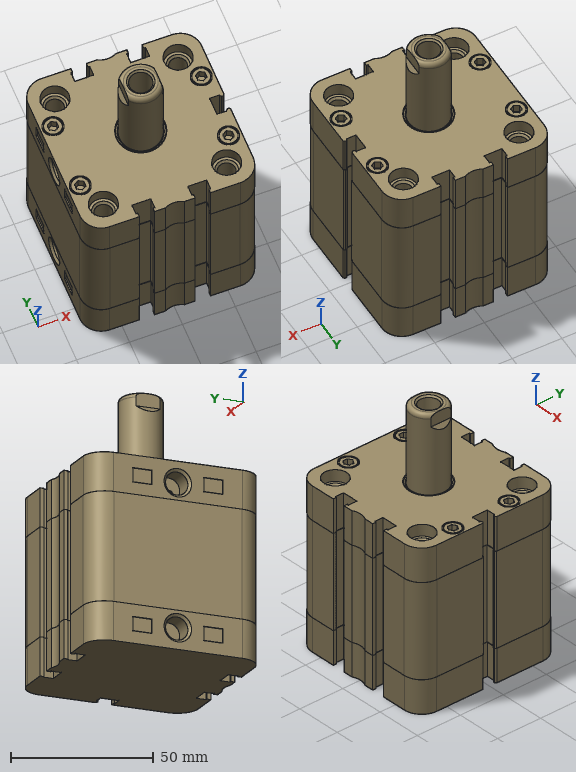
import cadquery as cq
import math

OVERALL_HEIGHT = 103.0
BODY_WIDTH = 65.5
CAP_HEIGHT = 14.5
BARREL_HEIGHT = 40.8
CAP_CORNER_RADIUS = 8.0
BARREL_CORNER_RADIUS = 8.2
HALF_WIDTH = BODY_WIDTH / 2
BARREL_TOP = CAP_HEIGHT + BARREL_HEIGHT
BODY_TOP = BARREL_TOP + CAP_HEIGHT

SLOT_SPACING = 21.1
SLOT_MOUTH = 5.8
SLOT_WIDTH = 6.7
SLOT_DEPTH = 5.2
SLOT_LIP = 1.5
SIDE_SLOT_MOUTH = 5.0
SIDE_SLOT_WIDTH = 6.6
SIDE_SLOT_DEPTH = 5.4
SIDE_LIP = 1.6
SIDE_LIP_BEVEL = 0.5
CAP_SLOT_CLEARANCE = 0.2

GROOVE_WIDTH = 7.1
GROOVE_DEPTH = 0.9

MOUNT_OFFSET = 23.3
MOUNT_BORE = 10.5
MOUNT_BORE_DEPTH = 4.9
MOUNT_MOUTH = 8.3
MOUNT_THREAD = 6.7

SCREW_X = 28.0
SCREW_Y = 13.1
SCREW_RECESS = 7.7
SCREW_HEAD = 6.7
SCREW_GAP_DEPTH = 0.5
SOCKET_FLATS = 3.5
SOCKET_DEPTH = 3.1

PORT_FROM_END = 8.0
PORT_MOUTH = 10.5
PORT_BORE = 8.5
PORT_DEPTH = 8.2
AIR_PASSAGE = 3.5
AIR_PASSAGE_DROP = 2.0
AIR_PASSAGE_DEPTH = 4.1

LABEL_WIDTH = 7.3
LABEL_HEIGHT = 5.3
LABEL_OFFSET = 13.6
LABEL_FROM_END = 7.3
LABEL_DEPTH = 0.5

ROD_DIAMETER = 16.0
ROD_TIP_RADIUS = 1.9
ROD_FLATS = 13.0
ROD_FLAT_LENGTH = 5.2
ROD_FLAT_RUN_OUT = 1.9
ROD_THREAD = 8.5
ROD_THREAD_MOUTH = 10.0
ROD_THREAD_DEPTH = 20.6
DRILL_POINT_DEPTH = 2.5
WIPER_MOUTH = 18.3
WIPER_RECESS = 17.7
WIPER_LIP = 16.6
WIPER_RECESS_DEPTH = 0.3
WIPER_LIP_DEPTH = 0.6


def disc(diameter, bottom, height):
    """Upright cylinder on the Z axis."""
    return cq.Workplane("XY").workplane(offset=bottom).circle(diameter / 2).extrude(height)


def countersink(mouth, bore, top):
    """45 degree cone on the Z axis that narrows downwards from the mouth to the bore."""
    depth = (mouth - bore) / 2
    return cq.Workplane("XY").add(
        cq.Solid.makeCone(bore / 2, mouth / 2, depth, cq.Vector(0, 0, top - depth)))


def y_side_slot(bottom, height, clearance):
    """Slot in the -Y side at x = 0, narrower at its mouth."""
    width = SLOT_WIDTH + 2 * clearance
    depth = SLOT_DEPTH + clearance
    neck = (cq.Workplane("XY").box(SLOT_MOUTH, depth, height, centered=(True, False, False))
            .translate((0, -HALF_WIDTH, bottom)))
    pocket = (cq.Workplane("XY").box(width, depth - SLOT_LIP, height, centered=(True, False, False))
              .translate((0, SLOT_LIP - HALF_WIDTH, bottom)))
    return neck.union(pocket)


def x_side_slot(bottom, height, clearance):
    """Slot in the +X side at y = 0, with bevelled lips at its mouth."""
    mouth = SIDE_SLOT_MOUTH / 2 + clearance
    wall = SIDE_SLOT_WIDTH / 2 + clearance
    lip_inside = HALF_WIDTH - SIDE_LIP
    upper = [
        (HALF_WIDTH, mouth + SIDE_LIP_BEVEL),
        (HALF_WIDTH - SIDE_LIP_BEVEL, mouth),
        (lip_inside + SIDE_LIP_BEVEL, mouth),
        (lip_inside, mouth + SIDE_LIP_BEVEL),
        (lip_inside, wall),
        (HALF_WIDTH - SIDE_SLOT_DEPTH, wall),
    ]
    lower = [(x, -y) for x, y in reversed(upper)]
    return (cq.Workplane("XY").workplane(offset=bottom)
            .polyline(upper + lower).close().extrude(height))


def y_side_groove(bottom, height):
    """Shallow round groove along the middle of the -Y side."""
    half = GROOVE_WIDTH / 2
    return (cq.Workplane("XY").workplane(offset=bottom)
            .moveTo(-half, -HALF_WIDTH)
            .threePointArc((0, GROOVE_DEPTH - HALF_WIDTH), (half, -HALF_WIDTH))
            .close().extrude(height))


def profile_block(bottom, height, corner_radius, slot_clearance):
    """Square block with rounded corners, cut by all the lengthwise slots and grooves."""
    block = (cq.Workplane("XY").workplane(offset=bottom)
             .rect(BODY_WIDTH, BODY_WIDTH).extrude(height)
             .edges("|Z").fillet(corner_radius))
    slot = y_side_slot(bottom, height, slot_clearance)
    side_cuts = y_side_groove(bottom, height)
    for x in (-SLOT_SPACING / 2, SLOT_SPACING / 2):
        side_cuts = side_cuts.union(slot.translate((x, 0, 0)))
    return (block.cut(side_cuts)
            .cut(side_cuts.mirror("XZ"))
            .cut(x_side_slot(bottom, height, slot_clearance)))


def port(z):
    """Countersunk blind port in the -X side."""
    bore = disc(PORT_BORE, -PORT_DEPTH, PORT_DEPTH)
    shape = bore.union(countersink(PORT_MOUTH, PORT_BORE, 0))
    return shape.rotate((0, 0, 0), (0, 1, 0), -90).translate((-HALF_WIDTH, 0, z))


def label_panels(z):
    """Pair of shallow rectangular recesses in the -X side."""
    return (cq.Workplane("YZ").workplane(offset=-HALF_WIDTH)
            .pushPoints([(-LABEL_OFFSET, z), (LABEL_OFFSET, z)])
            .rect(LABEL_WIDTH, LABEL_HEIGHT).extrude(LABEL_DEPTH))


def mounting_hole():
    """Counterbored thread hole that reaches down through the head cap."""
    seat = BODY_TOP - MOUNT_BORE_DEPTH
    return (disc(MOUNT_BORE, seat, MOUNT_BORE_DEPTH)
            .union(countersink(MOUNT_MOUTH, MOUNT_THREAD, seat))
            .union(disc(MOUNT_THREAD, BARREL_TOP, seat - BARREL_TOP)))


def screw_head_cut():
    """Ring gap around a flush screw head, and the head's hexagon socket."""
    gap_bottom = BODY_TOP - SCREW_GAP_DEPTH
    gap = disc(SCREW_RECESS, gap_bottom, SCREW_GAP_DEPTH).cut(
        disc(SCREW_HEAD, gap_bottom, SCREW_GAP_DEPTH))
    across_corners = SOCKET_FLATS / math.cos(math.pi / 6)
    socket = (cq.Workplane("XY").workplane(offset=BODY_TOP - SOCKET_DEPTH)
              .transformed(rotate=(0, 0, 90))
              .polygon(6, across_corners).extrude(SOCKET_DEPTH))
    return gap.union(socket)


def rod_passage():
    """Guide bore for the rod with the stepped wiper recess at the top."""
    return (disc(ROD_DIAMETER, BARREL_TOP, CAP_HEIGHT)
            .union(disc(WIPER_LIP, BODY_TOP - WIPER_LIP_DEPTH, WIPER_LIP_DEPTH))
            .union(disc(WIPER_RECESS, BODY_TOP - WIPER_RECESS_DEPTH, WIPER_RECESS_DEPTH))
            .union(countersink(WIPER_MOUTH, WIPER_RECESS, BODY_TOP)))


def make_barrel():
    return profile_block(CAP_HEIGHT, BARREL_HEIGHT, BARREL_CORNER_RADIUS, 0)


def make_end_cap():
    return (profile_block(0, CAP_HEIGHT, CAP_CORNER_RADIUS, CAP_SLOT_CLEARANCE)
            .cut(port(PORT_FROM_END))
            .cut(label_panels(LABEL_FROM_END)))


def make_head_cap():
    port_z = BODY_TOP - PORT_FROM_END
    cap = (profile_block(BARREL_TOP, CAP_HEIGHT, CAP_CORNER_RADIUS, CAP_SLOT_CLEARANCE)
           .cut(port(port_z))
           .cut(label_panels(BODY_TOP - LABEL_FROM_END))
           .cut(rod_passage()))
    passage = (cq.Workplane("YZ").workplane(offset=PORT_DEPTH - HALF_WIDTH)
               .center(0, port_z - AIR_PASSAGE_DROP)
               .circle(AIR_PASSAGE / 2).extrude(AIR_PASSAGE_DEPTH))
    cap = cap.cut(passage)
    for x_side in (-1, 1):
        for y_side in (-1, 1):
            cap = cap.cut(mounting_hole().translate((x_side * MOUNT_OFFSET, y_side * MOUNT_OFFSET, 0)))
            cap = cap.cut(screw_head_cut().translate((x_side * SCREW_X, y_side * SCREW_Y, 0)))
    return cap


def rod_flat_cut():
    """Wrench flat on the +X side of the rod tip, with a sloping run-out."""
    flat = ROD_FLATS / 2
    surface = ROD_DIAMETER / 2
    flat_bottom = OVERALL_HEIGHT - ROD_FLAT_LENGTH
    return (cq.Workplane("XZ")
            .polyline([
                (flat, OVERALL_HEIGHT),
                (flat, flat_bottom),
                (surface, flat_bottom - ROD_FLAT_RUN_OUT),
                (surface, OVERALL_HEIGHT),
            ]).close().extrude(ROD_DIAMETER / 2, both=True))


def make_piston_rod():
    rod = (disc(ROD_DIAMETER, BARREL_TOP, OVERALL_HEIGHT - BARREL_TOP)
           .faces(">Z").edges().fillet(ROD_TIP_RADIUS))
    hole_bottom = OVERALL_HEIGHT - ROD_THREAD_DEPTH
    drill_point = cq.Workplane("XY").add(
        cq.Solid.makeCone(0, ROD_THREAD / 2, DRILL_POINT_DEPTH,
                          cq.Vector(0, 0, hole_bottom - DRILL_POINT_DEPTH)))
    flat = rod_flat_cut()
    return (rod.cut(flat)
            .cut(flat.mirror("YZ"))
            .cut(disc(ROD_THREAD, hole_bottom, ROD_THREAD_DEPTH))
            .cut(countersink(ROD_THREAD_MOUTH, ROD_THREAD, OVERALL_HEIGHT))
            .cut(drill_point))


barrel = make_barrel()
end_cap = make_end_cap()
head_cap = make_head_cap()
piston_rod = make_piston_rod()

result = cq.Compound.makeCompound([
    barrel.val(),
    end_cap.val(),
    head_cap.val(),
    piston_rod.val(),
])